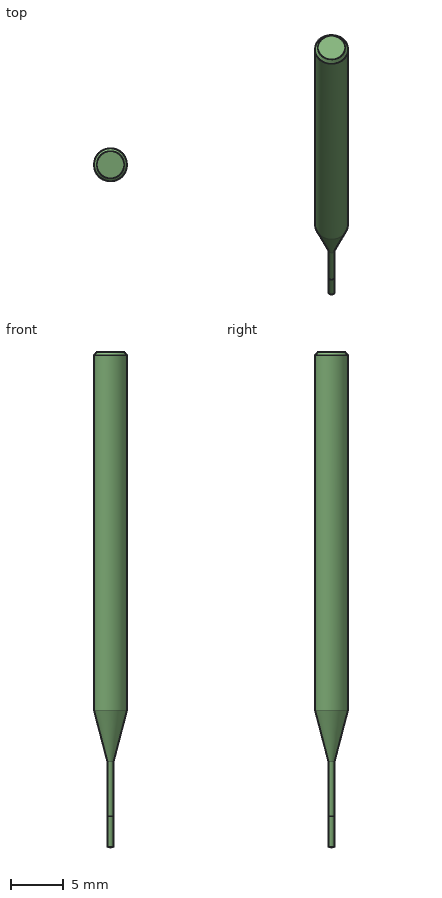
import cadquery as cq

total_length = 47.1
shank_diameter = 3.15
shank_chamfer_height = 0.35
shank_chamfer_inset = 0.3

neck_diameter = 0.6
cutter_diameter = 0.6
cutter_length = 2.95
point_height = 0.1
neck_length = 5.25
taper_length = 4.85

neck_bottom = cutter_length
taper_bottom = neck_bottom + neck_length
shank_bottom = taper_bottom + taper_length


def make_holder():
    """Turned shank with a chamfered top, a conical taper and a thin neck."""
    shank_radius = shank_diameter / 2
    neck_radius = neck_diameter / 2
    return (
        cq.Workplane("XZ")
        .moveTo(0, neck_bottom)
        .lineTo(neck_radius, neck_bottom)
        .lineTo(neck_radius, taper_bottom)
        .lineTo(shank_radius, shank_bottom)
        .lineTo(shank_radius, total_length - shank_chamfer_height)
        .lineTo(shank_radius - shank_chamfer_inset, total_length)
        .lineTo(0, total_length)
        .close()
        .revolve(360, (0, 0), (0, 1))
    )


def make_cutter():
    """Cylindrical cutter with a shallow conical point, butted against the neck."""
    cutter_radius = cutter_diameter / 2
    return (
        cq.Workplane("XZ")
        .moveTo(0, 0)
        .lineTo(cutter_radius, point_height)
        .lineTo(cutter_radius, cutter_length)
        .lineTo(0, cutter_length)
        .close()
        .revolve(360, (0, 0), (0, 1))
    )


holder = make_holder()
cutter = make_cutter()

result = cq.Compound.makeCompound([holder.val(), cutter.val()])